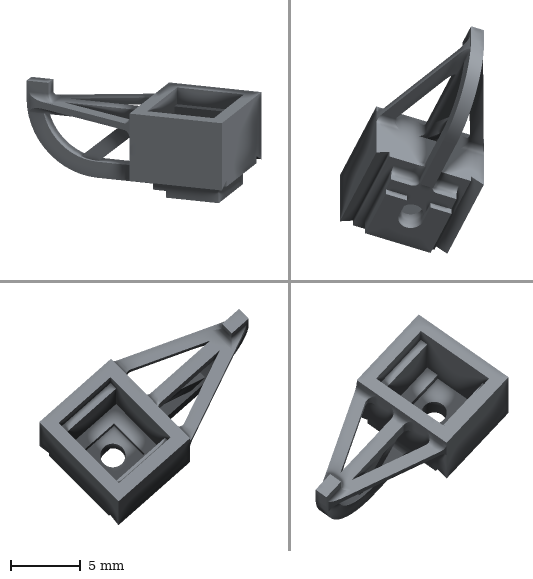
import cadquery as cq
import math

length = 16.25
width = 8.3
height = 7.04
blend = 0.5
bar = 1.0
half_bar = bar / 2

box_front = 9.2
box_bottom = 1.5
box_top = height - blend
box_length = length - box_front

cavity_front = 10.17
cavity_back = 15.28
cavity_width = 6.3
ledge_depth = 1.25
well_width = 5.14
well_floor = 2.0
pocket_front = 11.28
pocket_width = 3.18
pocket_floor = 1.5

foot_front = 10.38
foot_back = 15.42
foot_width = 5.05
pad_front = 11.4
pad_height = 0.5
hole_diameter = 1.8
hole_x = 12.9

hook_radius = 5.4
hook_thickness = 1.2
tip_length = 1.67
frame_top = 5.7
hook_bottom = frame_top - hook_radius
arm_top = hook_bottom + hook_thickness
arm_end = foot_front - blend

side_bar_bottom = frame_top - half_bar
centre_bar_bottom = frame_top - bar
frame_tip = 0.21
crotch = 2.85
bar_slope = (width / 2 - half_bar) / (box_front - frame_tip)

brace_width = 0.5
brace_top_front = 7.55
brace_slope = 0.85
brace_drop = 3.58


def slab(shape_xy, low, high):
    """Extrude a plan outline between two heights."""
    return shape_xy.extrude(high - low).translate((0, 0, low))


def block(x0, x1, across, z0, z1):
    """Block centred on the XZ plane."""
    solid = cq.Workplane("XY").box(x1 - x0, across, z1 - z0, centered=(False, True, False))
    return solid.translate((x0, 0, z0))


def web(shape_xz, across=bar):
    """Extrude a side profile symmetrically about the XZ plane."""
    return shape_xz.extrude(across / 2, both=True)


def fillet_piece(plane, corner, direction_u, direction_v):
    """Concave quarter blend in the corner of two square faces, as a closed outline."""
    u, v = corner
    far_u = u + direction_u * blend
    far_v = v + direction_v * blend
    inset = blend * (1 - math.sqrt(0.5))
    middle = (u + direction_u * inset, v + direction_v * inset)
    return cq.Workplane(plane).moveTo(u, v).lineTo(far_u, v).threePointArc(middle, (u, far_v)).close()


def straight_flare(wall_x):
    """Plan flare of a centred bar where it runs into a wall facing -X."""
    flare = block(wall_x - blend, wall_x, bar, 0, height)
    for side in (-1, 1):
        flare = flare.union(slab(fillet_piece("XY", (wall_x, side * half_bar), -1, side), 0, height))
    return flare


def wall_profile(low, high, below):
    """Elevation flare of a bar at the box front, above it and optionally below it."""
    flare = block(box_front - 2 * blend, box_front, width, low, high)
    flare = flare.union(web(fillet_piece("XZ", (box_front, high), -1, 1), width))
    if below:
        flare = flare.union(web(fillet_piece("XZ", (box_front, low), -1, -1), width))
    return flare


def make_box():
    body = block(box_front, length, width, box_bottom, box_top)
    for side in (-1, 1):
        notch = (
            cq.Workplane("YZ", origin=(box_front, 0, 0))
            .moveTo(side * width / 2, box_bottom)
            .lineTo(side * cavity_width / 2, box_bottom)
            .lineTo(side * cavity_width / 2, box_bottom + blend)
            .close()
            .extrude(box_length)
        )
        body = body.cut(notch)
    return body


def make_foot():
    foot = block(foot_front, foot_back, foot_width, pad_height, box_bottom)
    return foot.union(block(pad_front, foot_back, foot_width, 0, pad_height))


def cut_openings(body):
    ledge = box_top - ledge_depth
    body = body.cut(block(cavity_front, cavity_back, cavity_width, ledge, box_top))
    body = body.cut(block(cavity_front, cavity_back, well_width, well_floor, ledge))
    body = body.cut(block(pocket_front, cavity_back, pocket_width, pocket_floor, well_floor))
    hole = slab(cq.Workplane("XY").center(hole_x, 0).circle(hole_diameter / 2), 0, well_floor)
    slot = block(pad_front, hole_x, hole_diameter, 0, pad_height)
    return body.cut(hole).cut(slot)


def make_hook():
    inner_radius = hook_radius - hook_thickness
    diagonal = math.sqrt(0.5)
    centre = hook_radius
    profile = (
        cq.Workplane("XZ")
        .moveTo(0, height)
        .lineTo(0, frame_top)
        .threePointArc(
            (centre - hook_radius * diagonal, frame_top - hook_radius * diagonal),
            (centre, hook_bottom),
        )
        .lineTo(arm_end, hook_bottom)
        .lineTo(arm_end, pad_height)
        .lineTo(foot_front, pad_height)
        .lineTo(foot_front, arm_top)
        .lineTo(centre, arm_top)
        .threePointArc(
            (centre - inner_radius * diagonal, frame_top - inner_radius * diagonal),
            (hook_thickness, frame_top),
        )
        .lineTo(tip_length, frame_top)
        .lineTo(tip_length, height)
        .close()
    )
    return web(profile)


def make_brace():
    run = brace_drop / brace_slope
    profile = (
        cq.Workplane("XZ")
        .moveTo(brace_top_front, centre_bar_bottom)
        .lineTo(box_front, centre_bar_bottom)
        .lineTo(box_front - run, centre_bar_bottom - brace_drop)
        .lineTo(brace_top_front - run, centre_bar_bottom - brace_drop)
        .close()
    )
    return web(profile, brace_width)


def side_bar_plan(side):
    """Plan outline of one slanted bar, including its half of the nose."""
    inner_end = half_bar + bar_slope * (box_front - crotch)
    return (
        cq.Workplane("XY")
        .moveTo(frame_tip, 0)
        .lineTo(frame_tip, side * half_bar)
        .lineTo(box_front, side * width / 2)
        .lineTo(box_front, side * inner_end)
        .lineTo(crotch, side * half_bar)
        .lineTo(crotch, 0)
        .close()
    )


def side_bar_flare(side):
    """Blend of a slanted bar into the box front, mitred at its inner corners."""
    angle = math.atan(bar_slope)
    reach = blend / math.tan((math.pi / 2 - angle) / 2)
    inner_end = half_bar + bar_slope * (box_front - crotch)
    bar_tangent = (box_front - reach * math.cos(angle), side * (inner_end - reach * math.sin(angle)))
    middle_angle = (math.pi / 2 - angle) / 2
    middle = (
        box_front - blend + blend * math.cos(middle_angle),
        side * (inner_end - reach + blend * math.sin(middle_angle)),
    )
    plan = (
        cq.Workplane("XY")
        .moveTo(*bar_tangent)
        .threePointArc(middle, (box_front, side * (inner_end - reach)))
        .lineTo(box_front, side * width / 2)
        .lineTo(bar_tangent[0], side * (width / 2 - bar_slope * (box_front - bar_tangent[0])))
        .close()
    )
    return slab(plan, 0, height).intersect(wall_profile(side_bar_bottom, frame_top, True))


def make_frame():
    frame = block(tip_length / 2, box_front, bar, centre_bar_bottom, frame_top)
    flare = straight_flare(box_front).intersect(wall_profile(centre_bar_bottom, frame_top, False))
    frame = frame.union(flare)
    for side in (-1, 1):
        frame = frame.union(slab(side_bar_plan(side), side_bar_bottom, frame_top))
        frame = frame.union(side_bar_flare(side))
    return frame


def make_nose_blends():
    """Blends between the slanted bars and the hook above them and the centre bar below them."""
    upper_side = block(0, crotch, bar, frame_top, height)
    lower_side = block(0, box_front, bar, centre_bar_bottom, side_bar_bottom)
    for side in (-1, 1):
        upper = fillet_piece("YZ", (side * half_bar, frame_top), side, 1)
        lower = fillet_piece("YZ", (side * half_bar, side_bar_bottom), side, -1)
        upper_side = upper_side.union(upper.extrude(crotch))
        lower_side = lower_side.union(lower.extrude(box_front))
    upper_back = block(0, tip_length, width, frame_top, frame_top + blend)
    upper_back = upper_back.union(web(fillet_piece("XZ", (tip_length, frame_top), 1, 1), width))
    blends = upper_side.intersect(upper_back).union(lower_side)
    outline = slab(side_bar_plan(-1), 0, height).union(slab(side_bar_plan(1), 0, height))
    return blends.intersect(outline)


def make_arm_wall_blend():
    """Blend of the hook arm into the box front, mitred around the lower front edge of the box."""
    elevation = wall_profile(box_bottom - blend, box_bottom, False)
    section = block(0, box_front, bar, 0, box_bottom)
    section = section.union(block(0, box_front, width, box_bottom, height))
    for side in (-1, 1):
        section = section.union(fillet_piece("YZ", (side * half_bar, box_bottom), side, -1).extrude(box_front))
    return elevation.intersect(straight_flare(box_front)).intersect(section)


def make_foot_blends():
    """Blends between the box underside, the foot front and the arm, with spherical corners."""
    blends = block(box_front, foot_front, bar + 2 * blend, box_bottom - blend, box_bottom)
    blends = blends.union(block(foot_front - blend, foot_front, foot_width, pad_height, box_bottom))
    void_size = foot_front
    for side in (-1, 1):
        void = cq.Workplane("XY").box(void_size, void_size, void_size).edges().fillet(blend)
        centre_y = side * (half_bar + void_size / 2)
        blends = blends.cut(void.translate((foot_front - void_size / 2, centre_y, box_bottom - void_size / 2)))
    return blends


body = make_box().union(make_foot())
body = cut_openings(body)
arm_blends = (make_arm_wall_blend(), make_foot_blends())
for piece in (make_hook(), make_brace(), make_frame(), make_nose_blends(), *arm_blends):
    body = body.union(piece)
result = body.clean()